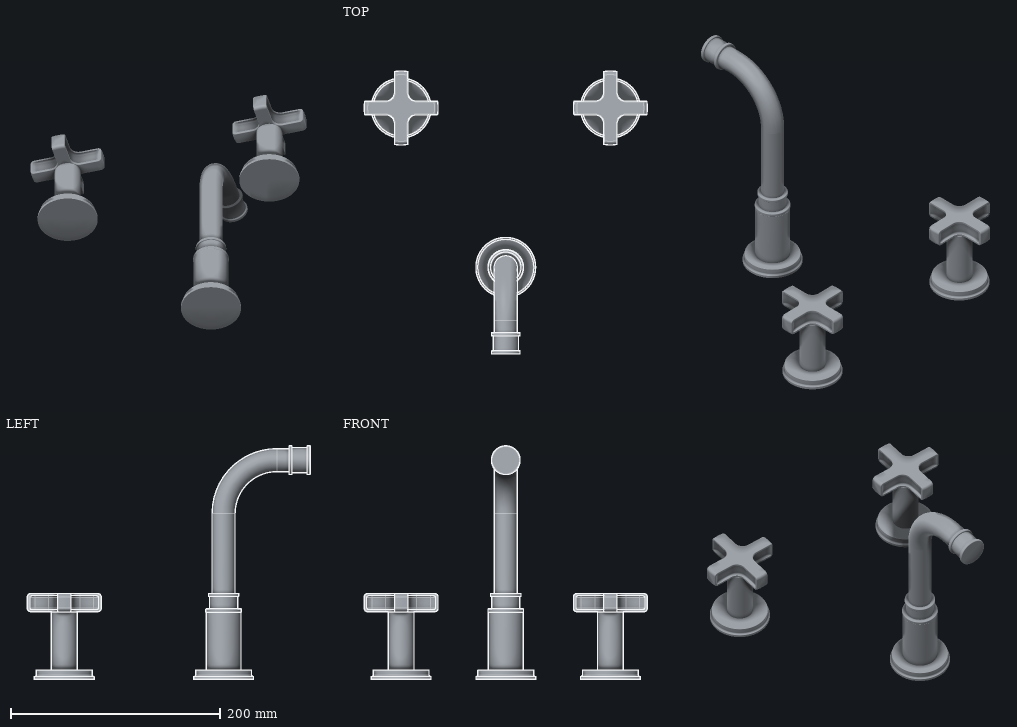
import cadquery as cq
import math

overall_width = 271
handle_x = 100.0
handle_y = 152.3

flange_radius = 28.7
flange_height = 2.7
hub_radius = 26.8
base_height = 9.0
base_edge_round = 0.4
hub_root_round = 1.4

stem_radius = 12.5
stem_edge_round = 0.8
handle_height = 82.0
head_height = 17.5
head_radius = overall_width / 2 - handle_x
head_edge_round = 3.5
arm_half_width = 6.5
arm_corner_radius = 8.5
arm_edge_round = 0.68

pocket_depth = 2.7
pocket_rim = 2.2
pocket_floor_round = 1.5
pocket_end_radius = 6.0
pocket_floor_end = 28.0

column_radius = 16.8
column_ring_radius = 17.0
column_ring_height = 3.5
column_top = 67.5
neck_radius = 13.5
collar_radius = 14.6
collar_height = 3.0
collar_top = handle_height
tube_radius = 11.0
bend_radius = 51.0
spout_height = 223.3
nozzle_radius = 12.2
nozzle_ring_radius = 13.8
nozzle_ring_width = 3.3
ring_edge_round = 0.68
first_ring_reach = 62.3
spout_reach = 83.0
spout_axis_z = spout_height - nozzle_ring_radius

cos_45 = math.sqrt(0.5)


def disc(radius, bottom, height):
    return cq.Workplane("XY").workplane(offset=bottom).circle(radius).extrude(height)


def make_base():
    """Hub on a wider flange, with a concave round where they meet."""
    base = disc(flange_radius, 0, flange_height).union(disc(hub_radius, 0, base_height))
    hub_root = base.edges(cq.selectors.RadiusNthSelector(0)).edges("<Z")
    base = hub_root.fillet(hub_root_round)
    flange_rim = base.edges(cq.selectors.RadiusNthSelector(-1)).edges(">Z")
    base = flange_rim.fillet(base_edge_round)
    return base.faces(">Z").edges().fillet(base_edge_round)


def make_cross():
    """Four-armed handle head, its arm ends lying on one edge-rounded disc."""
    arm_length = 2 * head_radius
    arm_width = 2 * arm_half_width
    bottom = handle_height - head_height
    plane = cq.Workplane("XY").workplane(offset=bottom)
    along_x = plane.rect(arm_length, arm_width).extrude(head_height)
    along_y = plane.rect(arm_width, arm_length).extrude(head_height)
    cross = along_x.union(along_y)
    inner_corners = cq.selectors.BoxSelector(
        (-stem_radius, -stem_radius, bottom),
        (stem_radius, stem_radius, handle_height),
    )
    cross = cross.edges("|Z").edges(inner_corners).fillet(arm_corner_radius)
    limit = disc(head_radius, bottom, head_height).edges().fillet(head_edge_round)
    head = cross.intersect(limit)
    for across in (-1, 1):
        for along in (-1, 1):
            near = (across * arm_half_width / 2, along * arm_half_width / 2, 0)
            far = (across * head_radius, along * head_radius, 2 * handle_height)
            side_outline = head.edges("not |Z").edges(cq.selectors.BoxSelector(near, far))
            head = side_outline.fillet(arm_edge_round)
    return head


def make_pocket():
    """Cutter that recesses the sides of the +X and +Y arms in the quadrant between them.

    Its floor runs along both arms and round their inner corner, and rises to the
    arm side in an arc near each arm end.
    """
    floor = arm_half_width - pocket_depth
    corner = arm_corner_radius + pocket_depth
    tangent = floor + corner
    corner_mid = tangent - corner * cos_45
    end_angle = math.acos(1 - pocket_depth / pocket_end_radius)
    half_angle = end_angle / 2
    end_mid = (
        pocket_floor_end + pocket_end_radius * math.sin(half_angle),
        floor + pocket_end_radius * (1 - math.cos(half_angle)),
    )
    end = (pocket_floor_end + pocket_end_radius * math.sin(end_angle), arm_half_width)
    outside = (end[0] + pocket_depth / math.tan(end_angle), arm_half_width + pocket_depth)
    cutter = (
        cq.Workplane("XY")
        .workplane(offset=handle_height - head_height + pocket_rim)
        .moveTo(outside[1], outside[0])
        .lineTo(end[1], end[0])
        .threePointArc(end_mid[::-1], (floor, pocket_floor_end))
        .lineTo(floor, tangent)
        .threePointArc((corner_mid, corner_mid), (tangent, floor))
        .lineTo(pocket_floor_end, floor)
        .threePointArc(end_mid, end)
        .lineTo(*outside)
        .lineTo(outside[0], outside[0])
        .close()
        .extrude(head_height - 2 * pocket_rim)
    )
    floor_outline = cutter.faces("|Z").edges(
        cq.selectors.BoxSelector((0, 0, 0), (end[0], end[0], 2 * handle_height))
    )
    return floor_outline.fillet(pocket_floor_round)


def make_handle():
    head = make_cross()
    pocket = make_pocket()
    for quadrant in range(4):
        head = head.cut(pocket.rotate((0, 0, 0), (0, 0, 1), 90 * quadrant))
    stem = disc(stem_radius, 0, handle_height - head_height)
    stem = stem.faces(">Z").edges().fillet(stem_edge_round)
    return make_base().union(stem).union(head)


def make_tube():
    """Upright tube that bends toward -Y and ends level."""
    bend_start = spout_axis_z - bend_radius
    bend_mid = bend_radius * cos_45
    path = (
        cq.Workplane("YZ")
        .lineTo(0, bend_start)
        .threePointArc(
            (-bend_radius + bend_mid, bend_start + bend_mid),
            (-bend_radius, spout_axis_z),
        )
        .lineTo(-first_ring_reach, spout_axis_z)
    )
    return cq.Workplane("XY").circle(tube_radius).sweep(path)


def make_nozzle():
    """Outlet along -Y with a ring at each end."""

    def segment(radius, start, length):
        plane = cq.Workplane("XZ", origin=(0, -start, spout_axis_z))
        return plane.circle(radius).extrude(length)

    nozzle = segment(nozzle_radius, first_ring_reach, spout_reach - first_ring_reach)
    for start in (first_ring_reach, spout_reach - nozzle_ring_width):
        ring = segment(nozzle_ring_radius, start, nozzle_ring_width)
        nozzle = nozzle.union(ring.edges().fillet(ring_edge_round))
    return nozzle


def make_spout():
    column = disc(column_radius, 0, column_top - column_ring_height)
    ring = disc(column_ring_radius, column_top - column_ring_height, column_ring_height)
    column = column.union(ring.edges().fillet(ring_edge_round))
    neck = disc(neck_radius, 0, collar_top)
    collar = disc(collar_radius, collar_top - collar_height, collar_height)
    collar = collar.edges().fillet(ring_edge_round)
    body = make_base().union(column).union(neck).union(collar)
    return body.union(make_tube()).union(make_nozzle())


spout = make_spout()
handle = make_handle()
handles = []
for x in (-handle_x, handle_x):
    handles.append(handle.translate((x, handle_y, 0)).val())
result = cq.Compound.makeCompound([spout.val(), *handles])